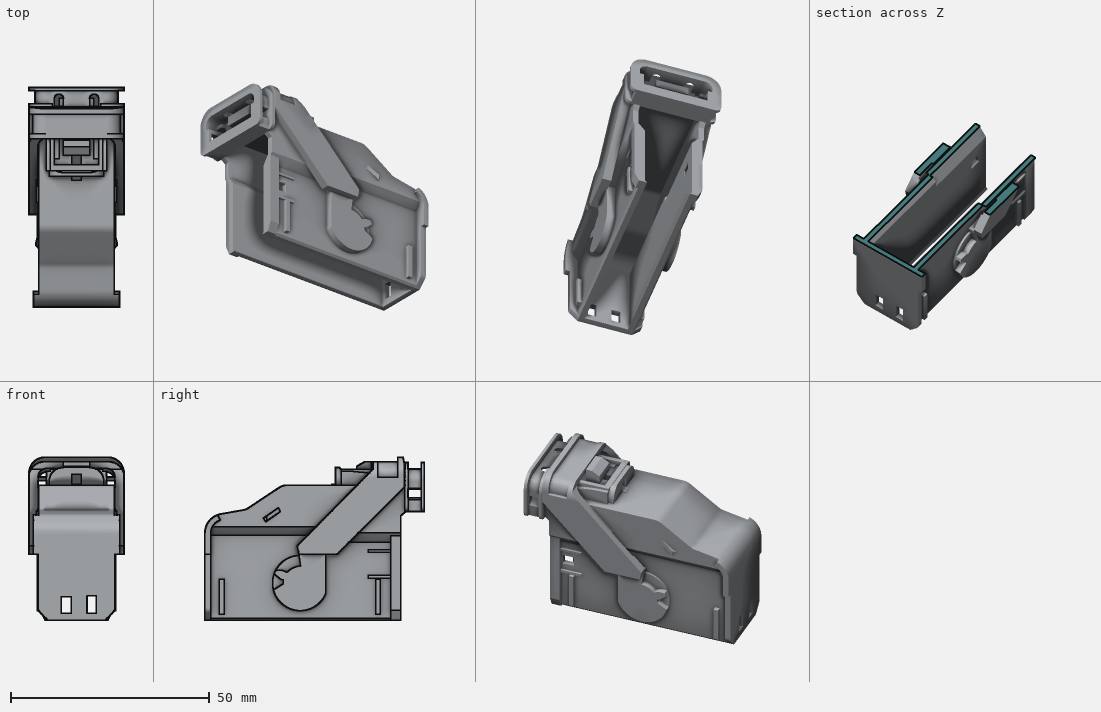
import cadquery as cq
import math

OVERLAP = 0.2
FAR = 60.0
SLACK = 0.1

WALL = 1.5
COVER_REAR = 49.3
COVER_TOP = 34.0
COVER_HALF = 9.5
SKIRT_HALF = 7.7
SKIRT_FOOT_HALF = 7.2
SKIRT_FOOT_H = 0.6
CREST_Y = 19.6
VALLEY = (10.4, 27.9)
NOSE_TOP = 26.06
CREST_R = 3.3
VALLEY_R = 2.6
NOSE_R = 5.0
TAIL_Y = 50.5
TAIL_Z = 27.3
TAIL_CHAMFER_Z = 26.3
STEP_Y = 28.5
STEP_FRONT = (21.4, 23.5)
STEP_REAR = (19.6, 22.0)

PLATE_HALF = 9.67
PLATE_WIDE_HALF = 10.82
PLATE_WIDE_Z = 16.6
LIP_END = [(2.7, 27.35), (4.5, 24.2)]
PLATE_FOOT_HALF = 7.23
PLATE_FOOT_H = 2.5
PLATE_FOOT_R = 1.6
POST_T = 2.6
POST_TOP = 21.7
POST_HALF = 9.0
POST_FOOT_HALF = 7.85

FRONT_WINDOW_BOTTOM = 1.85
FRONT_WINDOWS = [((-3.8, -1.35), 5.95), ((2.65, 4.95), 6.15)]
SIDE_WINDOW_Y = (43.3, 46.4)
SIDE_WINDOW_Z = (13.0, 15.5)
UPRIGHT_RIBS_Y = [(3.7, 4.9), (43.0, 44.15)]
UPRIGHT_RIB_Z = (1.5, 10.4)
UPRIGHT_RIB_HALF = 8.9
LEVEL_RIBS_Z = [(10.55, 11.3), (17.15, 17.75)]
LEVEL_RIB_FRONT = 41.1
LEVEL_RIB_HALF = 8.3
WEDGE_OUTLINE = [(18.5, 28.3), (19.0, 27.35), (15.35, 24.8), (14.75, 25.7)]
WEDGE_HALF = 10.3
WEDGE_PEAK_Y = 15.6

LEVER_HALF = 12.0
LEVER_IN = 9.67
LEVER_TOP = 41.06
LEVER_R = 4.2
BRIDGE_TOP = 39.9
BRIDGE_Y = (42.25, 48.5)
BRIDGE_RIB_Y = 43.5
BRIDGE_UNDER = 38.2
COLLAR_Y = (48.5, 50.2)
SCOOP_HALF = 11.05
SCOOP_Z = 36.0
BRIDGE_R = 3.2
RIB_R = BRIDGE_TOP - SCOOP_Z
COLLAR_TAPER = (0.35, 1.6)
ARM_GROOVE_DEPTH = 0.45
ARM_GROOVE_Y = (26.3, 32.0)
ARM_BOTTOM = 16.6
ARM_PROFILE = [(50.2, 33.5), (33.25, ARM_BOTTOM), (23.65, ARM_BOTTOM), (23.25, 18.75), (42.25, 38.0)]

HUB_Y = 24.0
HUB_Z = 9.4
HUB_R = 6.95
HUB_FLAT_Y = 30.4
HUB_BASE_HALF = 8.3
HUB_TOP = ARM_BOTTOM + 1
HUB_GAP_TOP = ARM_BOTTOM + 0.1
HUB_GAP_START = (24.1, 13.7)
HUB_GAP_FLOOR = (22.2, 13.2)
HUB_GAP_CORNER = (20.65, 12.1)
HUB_TOOTH_FLANK = (19.3, 12.6)
HUB_TOOTH_TIP = (17.8, 12.5)
HUB_NOTCH = [(16.5, 12.5), (19.2, 10.25), (19.8, 10.2), (19.8, 9.25), (16.5, 7.2)]

CORE_HALF = 7.6
CORE_FRONT = 34.3
CORE_TOP = 38.05
CORE_FOOT = COVER_TOP - OVERLAP
LEDGE_HALF = 6.65
LEDGE_FRONT_Z = 37.5
LEDGE_MIDDLE = (37.9, 37.4)
LEDGE_REAR_Z = 36.6
POCKET_HALF = 5.55
POCKET_FRONT = 35.8
POCKET_FLOOR = 36.5
STRIP_FRONT = 37.3
STRIP_TOP = 37.0
LATCH_HALF = 3.3
LATCH_FRONT = 38.2
LATCH_REAR = 41.9
LATCH_RIDGE_Y = 40.25
LATCH_FRONT_TOP = 38.75
TAB_HALF = 6.85
TAB_FRONT = 32.85
TAB_TOP = 38.45
TAB_R = 3.4
TAB_BEVEL = 0.5
KEYWAY_HALF = 1.15
KEYWAY_TOP = 36.75
KEYWAY_REAR = LATCH_FRONT
SILL_FRONT = 31.9
SILL_TOP = COVER_TOP + 0.2
TUBE_HALF = 10.45
TUBE_TOP = 38.1
TUBE_BOTTOM = 27.35
TUBE_R = 3.0
TUBE_WALL = 0.8
TUBE_SILL_HALF = 8.5
TUBE_FLOOR = 30.3
TUBE_WINDOW_OUT = (30.35, 33.25)
TUBE_WINDOW_IN = (30.85, 33.0)
SLOT_X = 4.43
SLOT_R = 1.13
SLOT_END = 52.4
RAIL_Y = (49.5, 52.0)
RAIL_Z = (35.1, 36.1)
TONGUE_HALF = 4.3
TONGUE_REAR = 52.45
INNER_R = 2.2
FLANGE_TOP = 39.75
FLANGE_T = 0.8
FLANGE_FOOT_R = 1.5
FLANGE_GAP_HALF = 6.15
FLANGE_FRONT_Y = 50.3
FLANGE_REAR_Y = 54.39


def box(x, y, z):
    """Block between the given (low, high) pairs."""
    size = (x[1] - x[0], y[1] - y[0], z[1] - z[0])
    return cq.Workplane("XY").box(*size, centered=False).translate((x[0], y[0], z[0]))


def centred_box(half, y, z):
    return box((-half, half), y, z)


def both_sides(solid):
    return solid.union(solid.mirror("YZ"))


def side_prism(points, x):
    """Prism along X from a (Y, Z) outline."""
    return cq.Workplane("YZ", origin=(x[0], 0, 0)).polyline(points).close().extrude(x[1] - x[0])


def front_prism(points, y):
    """Prism along Y from an (X, Z) outline."""
    return cq.Workplane("XZ", origin=(0, y[0], 0)).polyline(points).close().extrude(y[0] - y[1])


def near_line(z, y=0.0, reach=FAR):
    """Selector of edges centred at height z, at most reach away from y."""
    return cq.selectors.BoxSelector((-FAR, y - reach, z - SLACK), (FAR, y + reach, z + SLACK))


def arch(half, y, z, radius):
    """Block along Y with two rounded top corners."""
    return centred_box(half, y, z).edges("|Y and >Z").fillet(radius)


def mirrored(right):
    """Outline closed by mirroring its right half about X = 0."""
    return right + [(-x, z) for x, z in reversed(right)]


def roof_prism(half, inset, rear):
    """Prism under the roof line lowered by inset; rear lists the outline points behind the crest."""
    shallow = math.atan2(VALLEY[1] - NOSE_TOP, VALLEY[0])
    steep = math.atan2(COVER_TOP - VALLEY[1], CREST_Y - VALLEY[0])
    shallow_drop = inset / math.cos(shallow)
    steep_drop = inset / math.cos(steep)
    valley_shift = (steep_drop - shallow_drop) / (math.tan(steep) - math.tan(shallow))
    nose = (inset, NOSE_TOP + inset * math.tan(shallow) - shallow_drop)
    valley = (VALLEY[0] + valley_shift, VALLEY[1] + valley_shift * math.tan(shallow) - shallow_drop)
    crest = (CREST_Y + (steep_drop - inset) / math.tan(steep), COVER_TOP - inset)
    prism = side_prism([nose, (inset, 0)] + rear + [crest, valley], (-half, half))
    for (y, z), radius in [(crest, CREST_R - inset), (valley, VALLEY_R + inset), (nose, NOSE_R - inset)]:
        prism = prism.edges(near_line(z, y, SLACK)).fillet(radius)
    return prism


def roof_block(half):
    """Solid with the side outline of the cover."""
    rear = [(COVER_REAR, 0), (COVER_REAR, TAIL_CHAMFER_Z), (TAIL_Y, TAIL_Z), (TAIL_Y, COVER_TOP)]
    return roof_prism(half, 0, rear)


def roof_cavity(half):
    """Space one wall thickness under the roof, open below and at the rear."""
    return roof_prism(half, WALL, [(FAR, 0), (FAR, COVER_TOP - WALL)])


def stepped_section(inset):
    """Cross-section along the cover: narrow skirt below, wide cover above."""
    def stretch(step, y):
        low, high = step
        right = [
            (SKIRT_FOOT_HALF - inset, 0), (SKIRT_HALF - inset, SKIRT_FOOT_H), (SKIRT_HALF - inset, low),
            (COVER_HALF - inset, high), (COVER_HALF - inset, COVER_TOP),
        ]
        return front_prism(mirrored(right), y)
    return stretch(STEP_FRONT, (0, STEP_Y)).union(stretch(STEP_REAR, (STEP_Y, TAIL_Y + WALL)))


def end_plate(half, foot_half, y, top):
    """Plate across the cover with its two bottom corners cut off."""
    right = [(foot_half, 0), (half, PLATE_FOOT_H), (half, top)]
    return front_prism(mirrored(right), y)


def make_cover():
    shell = roof_block(COVER_HALF).intersect(stepped_section(0))
    lip = roof_block(PLATE_WIDE_HALF).cut(roof_cavity(FAR))
    lip_area = [(0, LIP_END[0][1])] + LIP_END + [(LIP_END[1][0], PLATE_WIDE_Z), (0, PLATE_WIDE_Z)]
    lip = lip.intersect(side_prism(lip_area, (-FAR, FAR)))
    front = end_plate(PLATE_HALF, PLATE_FOOT_HALF, (0, WALL), PLATE_WIDE_Z + OVERLAP)
    front = front.edges(near_line(PLATE_FOOT_H)).fillet(PLATE_FOOT_R)
    post = end_plate(POST_HALF, POST_FOOT_HALF, (COVER_REAR - POST_T, COVER_REAR), POST_TOP)
    shell = shell.union(lip).union(front).union(post)
    return shell.cut(roof_cavity(FAR).intersect(stepped_section(WALL)))


def cut_windows(body):
    for x, top in FRONT_WINDOWS:
        body = body.cut(box(x, (-OVERLAP, WALL + OVERLAP), (FRONT_WINDOW_BOTTOM, top)))
    side_window = box((-FAR, -SKIRT_HALF + 2 * WALL), SIDE_WINDOW_Y, SIDE_WINDOW_Z)
    return body.cut(side_window)


def make_side_ribs():
    ribs = cq.Workplane("XY")
    root = SKIRT_HALF - OVERLAP
    for y in UPRIGHT_RIBS_Y:
        ribs = ribs.union(box((root, UPRIGHT_RIB_HALF), y, UPRIGHT_RIB_Z))
    for z in LEVEL_RIBS_Z:
        ribs = ribs.union(box((root, LEVEL_RIB_HALF), (LEVEL_RIB_FRONT, COVER_REAR - POST_T + OVERLAP), z))
    return both_sides(ribs)


def make_snap_wedges():
    """Small ramps on the upper cover, rising toward the front."""
    root = COVER_HALF - OVERLAP
    rear, front = WEDGE_OUTLINE[1][0], WEDGE_OUTLINE[3][0]
    bar = side_prism(WEDGE_OUTLINE, (root, WEDGE_HALF))
    ramp = [(root, rear), (COVER_HALF, rear), (WEDGE_HALF, WEDGE_PEAK_Y), (COVER_HALF, front), (root, front)]
    return both_sides(bar.intersect(cq.Workplane("XY").polyline(ramp).close().extrude(FAR)))


def make_hub():
    def disc(x):
        plane = cq.Workplane("YZ", origin=(x[0], HUB_Y, HUB_Z))
        return plane.circle(HUB_R).extrude(x[1] - x[0])
    thick = (SKIRT_HALF - OVERLAP, LEVER_IN + OVERLAP)
    hub = disc(thick).union(box(thick, (ARM_PROFILE[2][0], HUB_FLAT_Y), (HUB_Z, HUB_TOP)))
    gap = (
        cq.Workplane("YZ").moveTo(ARM_PROFILE[2][0], HUB_GAP_TOP).lineTo(*HUB_GAP_START)
        .threePointArc(HUB_GAP_FLOOR, HUB_GAP_CORNER).threePointArc(HUB_TOOTH_FLANK, HUB_TOOTH_TIP)
        .lineTo(HUB_Y - HUB_R, HUB_GAP_TOP).close().extrude(FAR)
    )
    notch = side_prism(HUB_NOTCH, (0, FAR))
    hub = hub.cut(gap).cut(notch)
    hub = hub.union(disc((thick[0], HUB_BASE_HALF)))
    return both_sides(hub.cut(box((0, FAR), (HUB_FLAT_Y, FAR), (0, FAR))))


def make_lever():
    collar = arch(LEVER_HALF, COLLAR_Y, (SCOOP_Z, LEVER_TOP), LEVER_R)
    rear = COLLAR_Y[1]
    taper = [(rear, LEVER_TOP - COLLAR_TAPER[1]), (rear - COLLAR_TAPER[0], LEVER_TOP), (rear, LEVER_TOP)]
    collar = collar.cut(side_prism(taper, (-FAR, FAR)))
    rib = arch(LEVER_HALF, (BRIDGE_Y[0], BRIDGE_RIB_Y), (SCOOP_Z - OVERLAP, BRIDGE_TOP), RIB_R)
    bridge = arch(SCOOP_HALF, BRIDGE_Y, (SCOOP_Z - OVERLAP, BRIDGE_TOP), BRIDGE_R)
    arm_points = ARM_PROFILE + [(BRIDGE_Y[0], SCOOP_Z), (rear, SCOOP_Z)]
    arms = side_prism(arm_points, (-LEVER_HALF, LEVER_HALF))
    arms = arms.intersect(arch(LEVER_HALF, (0, FAR), (0, BRIDGE_TOP), RIB_R))
    groove = box((0, LEVER_IN + ARM_GROOVE_DEPTH), ARM_GROOVE_Y, (HUB_TOP, SCOOP_Z))
    arms = arms.cut(both_sides(groove))
    lever = collar.union(rib).union(bridge).union(arms)
    return lever.cut(arch(LEVER_IN, (0, FAR), (0, BRIDGE_UNDER), INNER_R))


def make_latch():
    """Connector core with its release latch, front tab and keyway."""
    core = centred_box(CORE_HALF, (CORE_FRONT, TAIL_Y), (CORE_FOOT, CORE_TOP))
    ledge = (
        cq.Workplane("YZ", origin=(LEDGE_HALF, 0, 0)).moveTo(CORE_FRONT, LEDGE_FRONT_Z)
        .threePointArc(LEDGE_MIDDLE, (BRIDGE_RIB_Y, LEDGE_REAR_Z)).lineTo(FAR, LEDGE_REAR_Z)
        .lineTo(FAR, FAR).lineTo(CORE_FRONT, FAR).close().extrude(FAR)
    )
    core = core.cut(both_sides(ledge))
    rear = COLLAR_Y[1]
    core = core.cut(centred_box(POCKET_HALF, (POCKET_FRONT, rear), (POCKET_FLOOR, FAR)))
    strip = box((TONGUE_HALF, POCKET_HALF + OVERLAP), (STRIP_FRONT, rear), (COVER_TOP, STRIP_TOP))
    core = core.union(both_sides(strip))
    core = core.union(centred_box(TONGUE_HALF, (rear, TONGUE_REAR), (COVER_TOP, POCKET_FLOOR)))
    latch = [
        (LATCH_FRONT, COVER_TOP), (LATCH_FRONT, LATCH_FRONT_TOP), (LATCH_RIDGE_Y, BRIDGE_TOP),
        (LATCH_REAR, BRIDGE_TOP), (LATCH_REAR, COVER_TOP),
    ]
    core = core.union(side_prism(latch, (-LATCH_HALF, LATCH_HALF)))
    tab = arch(TAB_HALF, (TAB_FRONT, CORE_FRONT), (CORE_FOOT, TAB_TOP), TAB_R)
    bevel = [(CORE_FRONT, TAB_TOP - TAB_BEVEL), (CORE_FRONT - TAB_BEVEL, TAB_TOP), (CORE_FRONT, TAB_TOP)]
    tab = tab.cut(side_prism(bevel, (-FAR, FAR)))
    core = core.union(tab)
    core = core.cut(centred_box(KEYWAY_HALF, (0, KEYWAY_REAR), (SILL_TOP, KEYWAY_TOP)))
    return core.union(centred_box(KEYWAY_HALF, (SILL_FRONT, KEYWAY_REAR), (CORE_FOOT, SILL_TOP)))


def make_tube():
    """Rear connector hood with two flanges."""
    rear = FLANGE_REAR_Y + FLANGE_T
    tube = arch(TUBE_HALF, (FLANGE_FRONT_Y, rear), (TUBE_BOTTOM, TUBE_TOP), TUBE_R)
    for y in (FLANGE_FRONT_Y, FLANGE_REAR_Y):
        flange = arch(LEVER_HALF, (y, y + FLANGE_T), (TUBE_BOTTOM, FLANGE_TOP), LEVER_R)
        flange = flange.edges("|Y and <Z").fillet(FLANGE_FOOT_R)
        tube = tube.union(flange)
    tube = tube.cut(centred_box(FLANGE_GAP_HALF, (0, FLANGE_FRONT_Y + FLANGE_T), (TUBE_TOP, FAR)))
    tube = tube.cut(arch(LEVER_IN, (0, FAR), (COVER_TOP, TUBE_TOP - TUBE_WALL), INNER_R))
    tube = tube.cut(centred_box(TUBE_SILL_HALF, (0, FAR), (TUBE_FLOOR, COVER_TOP + OVERLAP)))
    right = [
        (TUBE_SILL_HALF, TUBE_WINDOW_IN[0]), (TUBE_HALF, TUBE_WINDOW_OUT[0]),
        (TUBE_HALF, TUBE_WINDOW_OUT[1]), (TUBE_SILL_HALF, TUBE_WINDOW_IN[1]),
    ]
    tube = tube.cut(front_prism(mirrored(right), (FLANGE_FRONT_Y + FLANGE_T, FLANGE_REAR_Y)))
    for x in (-SLOT_X, SLOT_X):
        slot = cq.Workplane("XY", origin=(x, SLOT_END, COVER_TOP)).circle(SLOT_R).extrude(FAR)
        slot = slot.union(box((x - SLOT_R, x + SLOT_R), (0, SLOT_END), (COVER_TOP, FAR)))
        tube = tube.cut(slot)
    rails = both_sides(box((CORE_HALF - OVERLAP, LEVER_IN + OVERLAP), RAIL_Y, RAIL_Z))
    return tube.union(rails)


cover = cut_windows(make_cover())
cover = cover.union(make_side_ribs()).union(make_snap_wedges()).union(make_hub())
result = cover.union(make_lever()).union(make_latch()).union(make_tube())